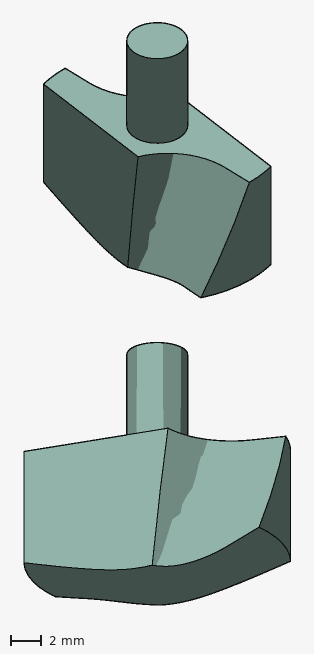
import cadquery as cq
import math

cutter_diameter = 17.5
blade_thickness = 6.26
overall_height = 17.5
shank_diameter = 4.0
body_height = 10.62
tip_height = 2.65

flute_radius = 5.23
land_start_x = 6.44
land_start_y = 0.66
land_angle = 6.7
twist_per_unit = 3.086

cutter_radius = cutter_diameter / 2
flute_reach = 1.5 * cutter_radius


def make_blade():
    """Pointed round blank, trimmed to a flat slab."""
    blank = (
        cq.Workplane("XZ")
        .moveTo(0, 0)
        .lineTo(cutter_radius, tip_height)
        .lineTo(cutter_radius, body_height)
        .lineTo(0, body_height)
        .close()
        .revolve(360, (0, 0, 0), (0, 1, 0))
    )
    slab = cq.Workplane("XY").box(
        cutter_diameter, blade_thickness, body_height, centered=(True, True, False)
    )
    return blank.intersect(slab)


def make_flute(turn):
    """Helical flute, turned about the tool axis by the given angle in degrees."""
    slope = math.radians(land_angle)
    center_x = land_start_x + flute_radius * math.sin(slope)
    center_y = land_start_y - flute_radius * math.cos(slope)
    arc_middle_angle = math.radians((90 + land_angle + 180) / 2)
    arc_middle = (
        center_x + flute_radius * math.cos(arc_middle_angle),
        center_y + flute_radius * math.sin(arc_middle_angle),
    )
    arc_end = (center_x - flute_radius, center_y)
    land_end_y = land_start_y + (flute_reach - land_start_x) * math.tan(slope)

    total_twist = twist_per_unit * body_height
    return (
        cq.Workplane("XY")
        .transformed(rotate=(0, 0, turn - total_twist))
        .moveTo(flute_reach, land_end_y)
        .lineTo(land_start_x, land_start_y)
        .threePointArc(arc_middle, arc_end)
        .lineTo(arc_end[0], -flute_reach)
        .lineTo(flute_reach, -flute_reach)
        .close()
        .twistExtrude(body_height, total_twist)
    )


def make_shank():
    """Round shank standing on the top face of the blade."""
    return (
        cq.Workplane("XY")
        .workplane(offset=body_height)
        .circle(shank_diameter / 2)
        .extrude(overall_height - body_height)
    )


result = make_blade()
for flute_turn in (0, 180):
    result = result.cut(make_flute(flute_turn))
result = result.union(make_shank())